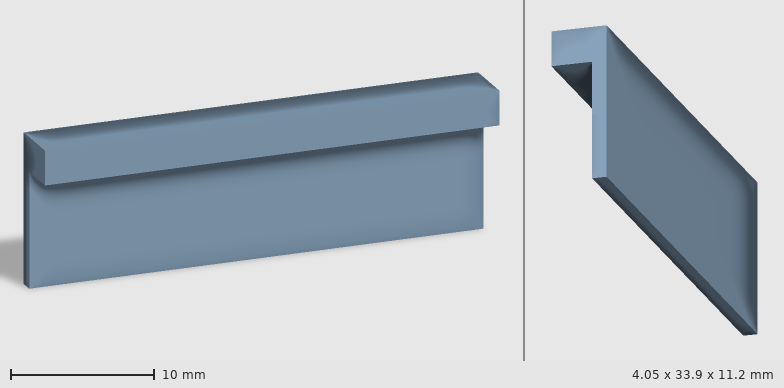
import cadquery as cq

width = 4.05
length = 33.93
height = 11.2

flange_height = 2.58
web_thickness = 1.05

section = [
    (0, 0),
    (web_thickness, 0),
    (web_thickness, height - flange_height),
    (width, height - flange_height),
    (width, height),
    (0, height),
]

result = cq.Workplane("XZ").polyline(section).close().extrude(-length)